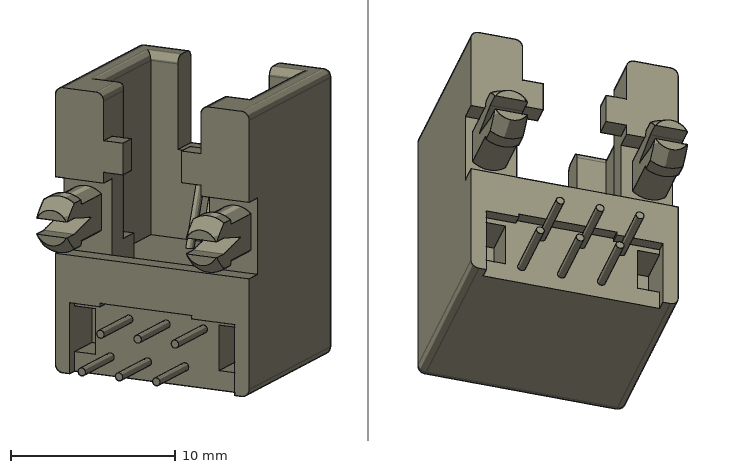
import cadquery as cq
import math


width, depth, height = 13.2, 11.48, 18.0
rounding = 0.5
through = 1.8

cavity_half_width = 4.95
cavity_front, cavity_back = 2.86, 9.68
cavity_floor = 6.5
front_lip_rounding = 0.23

front_gap_half_width = 3.31
rear_slot_half_width = 3.11
rear_slot_floor = 12.1

notch_depth = 1.17
notch_bottom, notch_top = 7.49, 12.31

tab_half_gap = 2.0
tab_bottom, tab_top = 13.0, 15.0

block_back = 4.1
block_top = 8.17

peg_offset, peg_height = 5.1, 10.12
peg_width = 2.09
shaft_radius, head_radius, tip_radius = 1.55, 1.78, 1.12
shaft_end, head_start, head_end, peg_reach = 1.48, 1.62, 2.5, 3.51
split_start, split_half_height = 0.22, 0.5

recess_half_width, recess_height, recess_depth = 5.62, 4.48, 0.67
step_left, step_right, step_height = -3.55, 2.68, 4.7
pocket_inner, pocket_bottom, pocket_top = 4.21, 1.25, 4.12
pocket_depth = 3.0

pin_radius, pin_reach = 0.25, 3.24
pin_pitch = 2.54
pins_per_row = 3
upper_row_height, row_spacing = 3.75, 2.54

wire_radius, wire_pitch, wire_count = 0.25, 0.99, 4
wire_foot_front = 7.83
wire_top = 11.41
wire_embed = 0.72


def box(x_min, x_max, y_min, y_max, z_min, z_max):
    size = (x_max - x_min, y_max - y_min, z_max - z_min)
    return cq.Workplane("XY").box(*size, centered=False).translate((x_min, y_min, z_min))


def flared_profile(plane, low, high, floor, low_radius, high_radius):
    """Upright slot outline whose two top edges flare outward in quarter rounds."""
    bend = math.sqrt(0.5)
    high_mid = (high + high_radius * (1 - bend), height - high_radius * (1 - bend))
    low_mid = (low - low_radius * (1 - bend), height - low_radius * (1 - bend))
    return (
        cq.Workplane(plane)
        .moveTo(low, floor)
        .lineTo(high, floor)
        .lineTo(high, height - high_radius)
        .threePointArc(high_mid, (high + high_radius, height))
        .lineTo(high + high_radius, height + through)
        .lineTo(low - low_radius, height + through)
        .lineTo(low - low_radius, height)
        .threePointArc(low_mid, (low, height - low_radius))
        .close()
    )


def make_shell():
    body = box(-width / 2, width / 2, 0, depth, 0, height)
    return body.edges("|Y or >Y").fillet(rounding)


def make_cavity():
    """Cavity with a rounded mouth: the overlap of a profile along Y and one along X."""
    across = flared_profile(
        "XZ", -cavity_half_width, cavity_half_width, cavity_floor, rounding, rounding
    ).extrude(-depth)
    along = flared_profile(
        "YZ", cavity_front, cavity_back, cavity_floor, front_lip_rounding, rounding
    ).extrude(width / 2, both=True)
    return across.intersect(along)


def make_front_gap():
    gap = flared_profile(
        "XZ", -front_gap_half_width, front_gap_half_width, cavity_floor, rounding, rounding
    ).extrude(-(cavity_front + front_lip_rounding))
    sill = box(-width / 2, width / 2, 0, notch_depth, 0, notch_bottom)
    return gap.cut(sill)


def make_corner_relief():
    """Sliver that rounds the upright corner between the front gap and the cavity."""
    center_x = front_gap_half_width + front_lip_rounding
    center_y = cavity_front - front_lip_rounding
    corner = box(front_gap_half_width, center_x, center_y, cavity_front, cavity_floor, height)
    round_post = cq.Workplane("XY").circle(front_lip_rounding).extrude(height)
    return corner.cut(round_post.translate((center_x, center_y, 0)))


def make_rear_slot():
    return box(
        -rear_slot_half_width, rear_slot_half_width,
        cavity_back - rounding, depth + through,
        rear_slot_floor, height + through,
    )


def make_notch():
    return box(-width, width, -through, notch_depth, notch_bottom, notch_top)


def make_recess():
    recess = box(-recess_half_width, recess_half_width, -through, recess_depth, -through, recess_height)
    step = box(step_left, step_right, -through, recess_depth, 0, step_height)
    pocket = box(pocket_inner, recess_half_width, 0, pocket_depth, pocket_bottom, pocket_top)
    return recess.union(step).union(pocket).union(pocket.mirror("YZ"))


def make_tab():
    return box(tab_half_gap, front_gap_half_width + rounding, 0, notch_depth, tab_bottom, tab_top)


def make_block():
    return box(
        front_gap_half_width, cavity_half_width,
        cavity_front - front_lip_rounding, block_back,
        cavity_floor, block_top,
    )


def make_peg():
    """Snap peg turned about a line parallel to Y, flattened on both sides and split."""
    turned = (
        cq.Workplane("XY")
        .polyline([
            (0, notch_depth),
            (shaft_radius, notch_depth),
            (shaft_radius, -shaft_end),
            (head_radius, -head_start),
            (head_radius, -head_end),
            (tip_radius, -peg_reach),
            (0, -peg_reach),
        ])
        .close()
        .revolve(360, (0, 0, 0), (0, 1, 0))
    )
    half_width = peg_width / 2
    flattened = turned.intersect(
        box(-half_width, half_width, -peg_reach, notch_depth, -head_radius, head_radius)
    )
    split = (
        cq.Workplane("YZ")
        .polyline([
            (-split_start, 0),
            (-head_end, split_half_height),
            (-peg_reach - through, split_half_height),
            (-peg_reach - through, -split_half_height),
            (-head_end, -split_half_height),
        ])
        .close()
        .extrude(peg_width, both=True)
    )
    return flattened.cut(split).translate((peg_offset, 0, peg_height))


def make_pins():
    """Two rows of pins, shifted half a pitch against each other."""
    pins = cq.Workplane("XY")
    for row, shift in enumerate((pin_pitch / 4, -pin_pitch / 4)):
        row_height = upper_row_height - row * row_spacing
        for index in range(pins_per_row):
            x = (index - (pins_per_row - 1) / 2) * pin_pitch + shift
            pin = cq.Workplane("XZ").circle(pin_radius).extrude(pin_reach + recess_depth)
            pins = pins.add(pin.translate((x, recess_depth, row_height)))
    return pins.combine()


def make_wires():
    """Row of leaning wires, placed by their upper front line."""
    run = cavity_back - wire_foot_front
    rise = wire_top - cavity_floor
    visible = math.hypot(run, rise)
    lean = cq.Vector(0, run / visible, rise / visible)
    to_axis = cq.Vector(0, rise / visible, -run / visible) * wire_radius
    foot = cq.Vector(0, wire_foot_front, cavity_floor) + to_axis - lean * wire_embed
    wires = cq.Workplane("XY")
    for index in range(wire_count):
        x = (index - (wire_count - 1) / 2) * wire_pitch
        start = foot + cq.Vector(x, 0, 0)
        wires = wires.add(cq.Solid.makeCylinder(wire_radius, visible + 2 * wire_embed, start, lean))
    return wires.combine()


housing = make_shell()
for cutter in (make_cavity(), make_front_gap(), make_rear_slot(), make_notch(), make_recess()):
    housing = housing.cut(cutter)

corner_relief = make_corner_relief()
housing = housing.cut(corner_relief).cut(corner_relief.mirror("YZ"))

for feature in (make_tab(), make_block(), make_peg()):
    housing = housing.union(feature).union(feature.mirror("YZ"))

result = housing.union(make_pins()).union(make_wires())